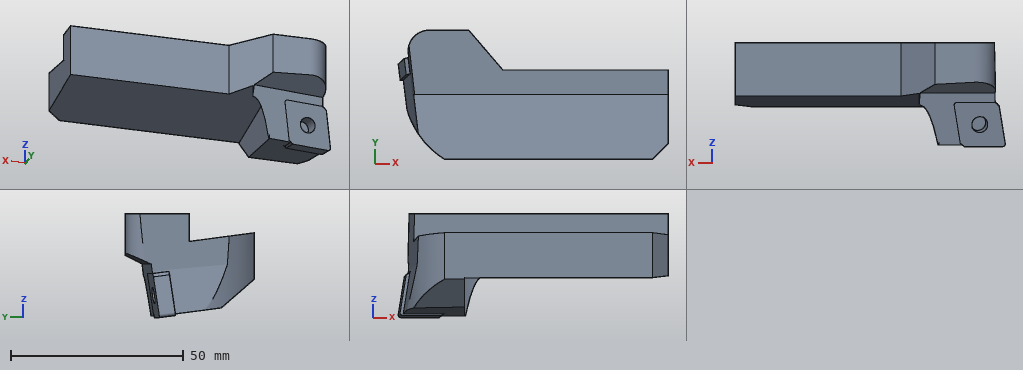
import cadquery as cq
import math

LENGTH = 78.5
WIDTH = 37.6
HEIGHT = 30.2

BAR_WIDTH = 26.05
HEAD_TOP_END = 20.5
HEAD_TAPER_END = 30.4
TAIL_CHAMFER = 4.6
HEAD_LEFT = 2.8
HEAD_CORNER_RADIUS = 6.3
NOSE_STOCK = 1.6
FRONT_CURVE_START = (1.6, 19.6)
FRONT_CURVE_MIDDLE = (5.5, 7.9)
FRONT_CURVE_END = (13.5, 0.0)

RIDGE_FRONT = 18.9
SHELF_FRONT_HEIGHT = 24.7
SHELF_REAR_HEIGHT = 22.2

BAR_BOTTOM = 11.6
BAR_BOTTOM_SLOPE = 0.12
BEVEL_TOP = 11.2
BEVEL_SLOPE = 0.87
WING_POINT = (8.6, WIDTH, 18.75)
WING_SLOPE_X = -0.053
WING_SLOPE_Y = 0.46
HEAD_END = 19.2
WEB_CURVE_START = 29.8
WEB_CURVE_MIDDLE = (22.6, 31.7)
WEB_CURVE_END = (25.9, 32.3)

END_POINT = (4.8, RIDGE_FRONT, HEIGHT)
END_SLOPE_Y = -0.115
END_SLOPE_Z = 0.036

NOSE = (-0.15, 27.55, 0.0)
TILT_SIDE = 0.125
TILT_BACK = 0.13
NOSE_ANGLE = 80.0
EDGE = 13.2
THICKNESS = 4.8
NOSE_RADIUS = 0.8
SIDE_CORNER_CHAMFER = 1.0
HOLE_DIAMETER = 4.6
FLANK_OVERHANG = 0.95
BOTTOM_OVERHANG = 0.5

BIG = 235.45

insert_plane = cq.Plane(origin=NOSE, xDir=(1, TILT_SIDE, 0), normal=(TILT_SIDE, -1, TILT_BACK))


def half_space(point, normal):
    """Large block that fills the side of a plane its normal points to."""
    return cq.Workplane(cq.Plane(origin=point, normal=normal)).rect(BIG, BIG).extrude(BIG)


def make_insert_blank():
    angle = math.radians(NOSE_ANGLE)
    rise_x = EDGE * math.cos(angle)
    rise_y = EDGE * math.sin(angle)
    blank = (
        cq.Workplane(insert_plane)
        .polyline([(0, 0), (EDGE, 0), (EDGE + rise_x, rise_y), (rise_x, rise_y)])
        .close()
        .extrude(THICKNESS)
    )

    def edge_at(x, y):
        middle = insert_plane.toWorldCoords((x, y, THICKNESS / 2))
        return cq.selectors.NearestToPointSelector(middle.toTuple())

    for corner in [(0, 0), (EDGE + rise_x, rise_y)]:
        blank = blank.edges(edge_at(*corner)).fillet(NOSE_RADIUS)
    for corner in [(EDGE, 0), (rise_x, rise_y)]:
        blank = blank.edges(edge_at(*corner)).chamfer(SIDE_CORNER_CHAMFER)
    return blank


def make_insert(blank):
    angle = math.radians(NOSE_ANGLE)
    centre = (EDGE * (1 + math.cos(angle)) / 2, EDGE * math.sin(angle) / 2)
    hole = (
        cq.Workplane(insert_plane)
        .center(*centre)
        .circle(HOLE_DIAMETER / 2)
        .extrude(THICKNESS)
    )
    return blank.cut(hole)


def make_holder_block():
    """Vertical prism with the plan outline of the holder."""
    corner_x = HEAD_LEFT + HEAD_CORNER_RADIUS
    corner_y = WIDTH - HEAD_CORNER_RADIUS
    diagonal = HEAD_CORNER_RADIUS * math.sqrt(0.5)
    return (
        cq.Workplane("XY")
        .moveTo(*FRONT_CURVE_END)
        .lineTo(LENGTH - TAIL_CHAMFER, 0)
        .lineTo(LENGTH, TAIL_CHAMFER)
        .lineTo(LENGTH, BAR_WIDTH)
        .lineTo(HEAD_TAPER_END, BAR_WIDTH)
        .lineTo(HEAD_TOP_END, WIDTH)
        .lineTo(corner_x, WIDTH)
        .threePointArc((corner_x - diagonal, corner_y + diagonal), (HEAD_LEFT, corner_y))
        .lineTo(-NOSE_STOCK, corner_y)
        .lineTo(-NOSE_STOCK, FRONT_CURVE_START[1])
        .lineTo(*FRONT_CURVE_START)
        .threePointArc(FRONT_CURVE_MIDDLE, FRONT_CURVE_END)
        .close()
        .extrude(HEIGHT)
    )


def shelf_cut():
    return (
        cq.Workplane("YZ", origin=(-NOSE_STOCK, 0, 0))
        .polyline([
            (0, SHELF_FRONT_HEIGHT),
            (RIDGE_FRONT, SHELF_REAR_HEIGHT),
            (RIDGE_FRONT, HEIGHT),
            (0, HEIGHT),
        ])
        .close()
        .extrude(LENGTH + NOSE_STOCK)
    )


def end_cut():
    """Stock outside both the upper end face and the flank beside the insert."""
    outside_upper = half_space(END_POINT, (-1, END_SLOPE_Y, END_SLOPE_Z))
    angle = math.radians(NOSE_ANGLE)
    outward = insert_plane.xDir * -math.sin(angle) + insert_plane.yDir * math.cos(angle)
    flank_point = insert_plane.origin - outward * FLANK_OVERHANG
    return outside_upper.intersect(half_space(flank_point.toTuple(), outward.toTuple()))


def wing_cut():
    """Space behind the rake face and below the wing."""
    behind_rake = half_space(NOSE, (-insert_plane.zDir).toTuple())
    below_wing = half_space(WING_POINT, (WING_SLOPE_X, WING_SLOPE_Y, -1))
    return behind_rake.intersect(below_wing)


def bar_underside_cut():
    """Space under the bar, bounded by the curved web at the head."""
    space = (
        cq.Workplane("XY")
        .moveTo(HEAD_END, 0)
        .lineTo(HEAD_END, WEB_CURVE_START)
        .threePointArc(WEB_CURVE_MIDDLE, WEB_CURVE_END)
        .lineTo(LENGTH, WEB_CURVE_END[1])
        .lineTo(LENGTH, 0)
        .close()
        .extrude(HEIGHT)
    )
    return space.intersect(half_space((0, 0, BAR_BOTTOM), (0, BAR_BOTTOM_SLOPE, -1)))


def make_holder(insert_blank):
    bottom_normal = (-insert_plane.yDir).toTuple()
    bottom_point = insert_plane.toWorldCoords((0, BOTTOM_OVERHANG, 0)).toTuple()
    holder = make_holder_block().cut(shelf_cut())
    holder = holder.cut(half_space(bottom_point, bottom_normal))
    holder = holder.cut(half_space((0, 0, BEVEL_TOP), (0, -BEVEL_SLOPE, -1)))
    holder = holder.cut(end_cut())
    holder = holder.cut(wing_cut())
    holder = holder.cut(bar_underside_cut())
    return holder.cut(insert_blank)


insert_blank = make_insert_blank()
insert = make_insert(insert_blank)
holder = make_holder(insert_blank)

result = cq.Compound.makeCompound([holder.val(), insert.val()])